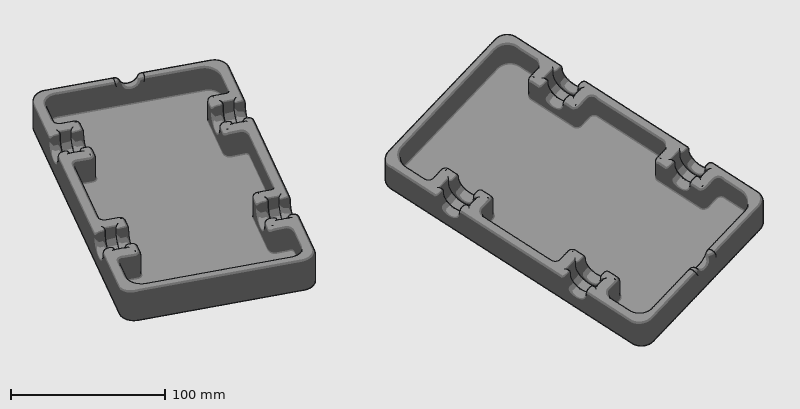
import cadquery as cq
import math

length = 218.0
width = 132.0
height = 26.0
wall = 7.2
floor_thickness = 5.0
corner_radius = 10.0
rim_radius = wall / 2
rim_axis_z = height - rim_radius
floor_radius = 2.2
bottom_radius = 1.0

boss_offset = 52.0
boss_length = 41.9
boss_reach = 23.0
boss_corner_radius = 3.7

saddle_depth = 4.4
saddle_axis_z = height - saddle_depth
channel_radius = 8.3
groove_radius = 11.1
groove_start = 7.5
groove_width = 7.5
saddle_edge_radius = 2.2

dip_radius = 10.0

tolerance = 0.02
boss_signs = [(side_x, side_y) for side_x in (-1, 1) for side_y in (-1, 1)]


def make_cavity():
    """Space inside the tray, with the four bosses left out of it."""
    cavity = (
        cq.Workplane("XY", origin=(0, 0, floor_thickness))
        .rect(length - 2 * wall, width - 2 * wall)
        .extrude(height - floor_thickness)
        .edges("|Z")
        .fillet(corner_radius)
    )
    boss = cq.Workplane("XY").box(boss_length, boss_reach, height, centered=(True, True, False))
    boss_y = (width - boss_reach) / 2
    for side_x, side_y in boss_signs:
        cavity = cavity.cut(boss.translate((side_x * boss_offset, side_y * boss_y, 0)))
    boss_end = boss_offset + boss_length / 2 + tolerance
    boss_zone = cq.selectors.BoxSelector((-boss_end, -width, 0), (boss_end, width, height))
    return cavity.edges("|Z").edges(boss_zone).fillet(boss_corner_radius)


def make_outer_shape():
    """Solid block with the rounded outside of the tray."""
    block = cq.Workplane("XY").rect(length, width).extrude(height)
    block = block.edges("|Z").fillet(corner_radius)
    block = block.faces("<Z").edges().fillet(bottom_radius)
    return block.faces(">Z").edges().fillet(rim_radius)


def make_inner_shape():
    """Oversized block with the rounded inside of the tray hollowed out of it."""
    block = cq.Workplane("XY").rect(2 * length, 2 * width).extrude(height).cut(make_cavity())
    floor_centre = cq.selectors.NearestToPointSelector((0, 0, floor_thickness))
    block = block.faces(floor_centre).edges().fillet(floor_radius)
    tray_zone = cq.selectors.BoxSelector(
        (-length / 2, -width / 2, 0),
        (length / 2, width / 2, height + tolerance),
    )
    return block.faces(">Z").edges(tray_zone).fillet(rim_radius)


def add_dip(tray):
    """Dip the rounded rim of the -X wall along an arc, with a ball at each end of the arc."""
    rim_x = (wall - length) / 2
    half_width = math.sqrt(dip_radius**2 - rim_radius**2)
    end_angle = math.degrees(math.asin(rim_radius / dip_radius))

    round_gap = cq.Workplane("YZ", origin=(-length / 2, 0, height)).circle(dip_radius).extrude(wall)
    upper_gap = cq.Workplane("XY", origin=(rim_x, 0, rim_axis_z))
    upper_gap = upper_gap.rect(wall, 2 * half_width).extrude(rim_radius)
    tray = tray.cut(round_gap).cut(upper_gap)

    dipped_rim = (
        cq.Workplane("XY", origin=(rim_x, dip_radius, height))
        .circle(rim_radius)
        .revolve(180 - 2 * end_angle, (0, -dip_radius, 0), (-1, -dip_radius, 0))
        .rotate((rim_x, 0, height), (rim_x + 2.2, 0, height), -end_angle)
    )
    tray = tray.union(dipped_rim)
    for side_y in (-1, 1):
        ball = cq.Workplane("XY", origin=(rim_x, side_y * half_width, rim_axis_z)).sphere(rim_radius)
        tray = tray.union(ball)
    return tray


def make_channel(radius, start_y, run):
    """U-shaped cutter along +Y, open at the top, centred on X = 0."""
    return (
        cq.Workplane("XZ", origin=(0, start_y, 0))
        .moveTo(-radius, height)
        .lineTo(-radius, saddle_axis_z)
        .threePointArc((0, saddle_axis_z - radius), (radius, saddle_axis_z))
        .lineTo(radius, height)
        .close()
        .extrude(-run)
    )


def cut_saddles(tray):
    """Cut the channel and its groove through every boss."""
    channel = make_channel(channel_radius, -width / 2, boss_reach)
    groove = make_channel(groove_radius, groove_start - width / 2, groove_width)
    front_saddle = channel.union(groove)
    saddles = {-1: front_saddle, 1: front_saddle.mirror("XZ")}
    for side_x, side_y in boss_signs:
        tray = tray.cut(saddles[side_y].translate((side_x * boss_offset, 0, 0)))
    return tray


def is_saddle_edge(edge):
    """True for the sharp outer edges of a saddle, not its seams or its inner corners."""
    box = edge.BoundingBox()
    reach = max(abs(abs(x) - boss_offset) for x in (box.xmin, box.xmax))
    is_seam = box.zlen < tolerance and abs(box.zmax - saddle_axis_z) < tolerance
    on_channel = reach < channel_radius + tolerance and box.zmin > saddle_axis_z - channel_radius - tolerance
    on_groove_top = reach < groove_radius + tolerance and box.zmin > height - tolerance
    return (on_channel or on_groove_top) and not is_seam


tray = make_outer_shape().intersect(make_inner_shape()).clean()
tray = cut_saddles(add_dip(tray).clean())
saddle_edges = [edge for edge in tray.edges().vals() if is_saddle_edge(edge)]
result = tray.newObject(saddle_edges).fillet(saddle_edge_radius).solids()